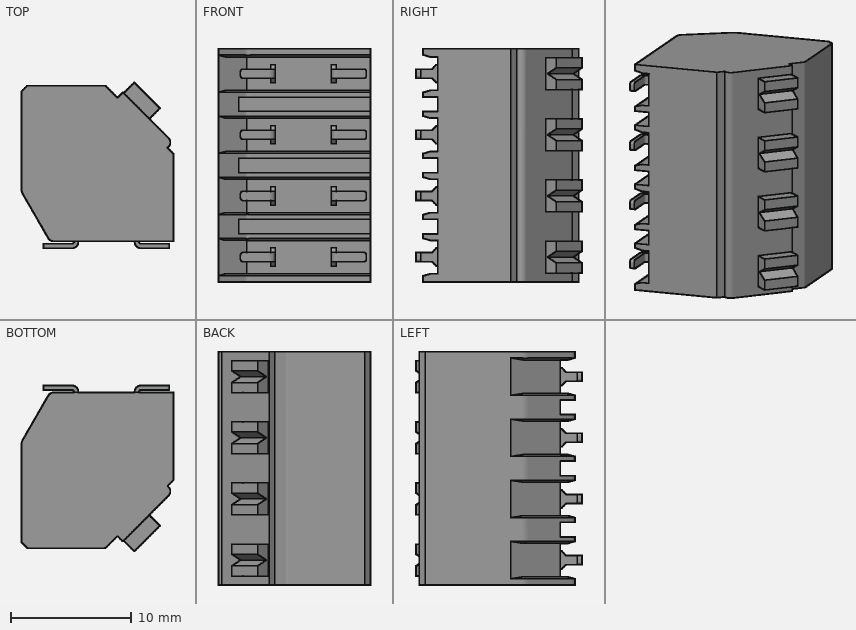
import cadquery as cq
import math


height = 19.44
width = 12.7
depth = 12.99
back_left_chamfer = 0.5
front_slant_x = 2.4
front_slant_angle = 60.0
front_slant_y = front_slant_x * math.tan(math.radians(front_slant_angle))
side_fillet = 0.97
front_fillet = 0.56

slope_sum = 20.88
low_slope_sum = 19.98
step = (slope_sum - low_slope_sum) / 2
upper_step_x = 8.0
lower_step_x = 12.19
slope_end_fillet = 0.5
back_fillet = 0.23

pole_count = 4
pole_pitch = 5.1
first_pole_z = (height - (pole_count - 1) * pole_pitch) / 2
pole_heights = [first_pole_z + i * pole_pitch for i in range(pole_count)]

recess_depth = 1.22
recess_height = 2.76
lip_rise = 0.17
lip_reach = 0.62
mouth_height = recess_height + 2 * lip_rise
side_recess_y = 5.35
slot_height = 1.2

pin_mirror_x = 7.1
pin_half_gap = 2.33
pin_thickness = 0.39
pin_reach = 5.25
pin_width = 0.78
pin_root_width = 1.52
pin_root_length = 0.12
pin_taper_length = 0.35
foot_y = -0.58
bend_radius = 0.55
tip_fillet = 0.23

button_offset = 0.1
button_length = 3.03
button_rise = 1.26
button_height = 2.66
groove_width = 0.97
groove_depth = 1.03

overlap = 0.2
beyond = 3.89


def box(x_min, x_max, y_min, y_max, z_center, z_size):
    """Box with given X and Y limits, centred on z_center."""
    return (
        cq.Workplane("XY", origin=(x_min, y_min, z_center))
        .box(x_max - x_min, y_max - y_min, z_size, centered=(False, False, True))
    )


def make_body():
    outline = [
        (front_slant_x, 0),
        (width, 0),
        (width, low_slope_sum - width),
        (lower_step_x, low_slope_sum - lower_step_x),
        (lower_step_x + step, slope_sum - lower_step_x - step),
        (upper_step_x + step, slope_sum - upper_step_x - step),
        (upper_step_x, low_slope_sum - upper_step_x),
        (low_slope_sum - depth, depth),
        (back_left_chamfer, depth),
        (0, depth - back_left_chamfer),
        (0, front_slant_y),
    ]
    fillets = {0: front_fillet, 4: slope_end_fillet, 7: back_fillet, 10: side_fillet}
    body = cq.Workplane("XY").polyline(outline).close().extrude(height)
    for corner, radius in fillets.items():
        x, y = outline[corner]
        edge = cq.selectors.NearestToPointSelector((x, y, height / 2))
        body = body.edges("|Z").edges(edge).fillet(radius)
    return body


def make_lip():
    """Flared wedge on the lower wall of a recess, its outer edge at Z = 0."""
    outline = [
        (front_slant_x, 0),
        (width + beyond, 0),
        (width + beyond, depth),
        (0, depth),
        (0, front_slant_y),
    ]
    flare_angle = math.degrees(math.atan2(lip_reach, lip_rise))
    return cq.Workplane("XY").polyline(outline).close().extrude(lip_rise, taper=flare_angle)


def make_recess():
    """Cutter for one pin recess, centred on Z = 0."""
    tan_slant = math.tan(math.radians(front_slant_angle))
    floor_corner_x = (side_recess_y - recess_depth) / tan_slant
    outline = [
        (floor_corner_x, recess_depth),
        (width + beyond, recess_depth),
        (width + beyond, -beyond),
        (-beyond, -beyond),
        (-beyond, side_recess_y + beyond * tan_slant),
    ]
    cutter = (
        cq.Workplane("XY", origin=(0, 0, -mouth_height / 2))
        .polyline(outline).close().extrude(mouth_height)
    )
    lower_lip = make_lip().translate((0, 0, -mouth_height / 2))
    return cutter.cut(lower_lip).cut(lower_lip.mirror("XY"))


def make_pin():
    """Left pin of a pole, centred on Z = 0, its foot pointing to -X."""
    stem_right = pin_mirror_x - pin_half_gap
    stem_left = stem_right - pin_thickness
    bend_x = stem_right - bend_radius
    bend_y = foot_y + bend_radius
    tip_x = pin_mirror_x - pin_reach
    foot_top = foot_y + pin_thickness
    inner_radius = bend_radius - pin_thickness
    diagonal = math.sqrt(0.5)
    root_y = recess_depth + overlap
    strip = (
        cq.Workplane("XY", origin=(0, 0, -pin_width / 2))
        .moveTo(tip_x, foot_y)
        .lineTo(bend_x, foot_y)
        .threePointArc(
            (bend_x + bend_radius * diagonal, bend_y - bend_radius * diagonal),
            (stem_right, bend_y),
        )
        .lineTo(stem_right, root_y)
        .lineTo(stem_left, root_y)
        .lineTo(stem_left, bend_y)
        .threePointArc(
            (bend_x + inner_radius * diagonal, bend_y - inner_radius * diagonal),
            (bend_x, foot_top),
        )
        .lineTo(tip_x, foot_top)
        .close()
        .extrude(pin_width)
        .edges("|Y and <X").fillet(tip_fillet)
    )
    shoulder_y = recess_depth - pin_root_length
    root = (
        cq.Workplane("YZ", origin=(stem_left, 0, 0))
        .polyline([
            (root_y, -pin_root_width / 2),
            (shoulder_y, -pin_root_width / 2),
            (shoulder_y - pin_taper_length, -pin_width / 2),
            (shoulder_y - pin_taper_length, pin_width / 2),
            (shoulder_y, pin_root_width / 2),
            (root_y, pin_root_width / 2),
        ])
        .close()
        .extrude(pin_thickness)
    )
    return strip.union(root)


def make_button():
    """Push button with a V groove along the slope, centred on Z = 0."""
    corner = (upper_step_x + step, slope_sum - upper_step_x - step, 0)
    slope = cq.Plane(origin=corner, xDir=(1, -1, 0), normal=(1, 1, 0))
    block = (
        cq.Workplane(slope)
        .workplane(offset=-overlap)
        .center(button_offset + button_length / 2, 0)
        .rect(button_length, button_height)
        .extrude(button_rise + overlap)
    )
    end = cq.Plane(origin=corner, xDir=(0, 0, -1), normal=(1, -1, 0))
    groove = (
        cq.Workplane(end)
        .polyline([
            (-groove_width / 2, button_rise),
            (groove_width / 2, button_rise),
            (0, button_rise - groove_depth),
        ])
        .close()
        .extrude(button_offset + button_length + overlap)
    )
    return block.cut(groove)


result = make_body()

recess = make_recess()
for z in pole_heights:
    result = result.cut(recess.translate((0, 0, z)))

for z in pole_heights[:-1]:
    slot_z = z + pole_pitch / 2
    result = result.cut(box(-beyond, width + beyond, -beyond, recess_depth, slot_z, slot_height))

left_pin = make_pin()
right_pin = left_pin.mirror("YZ", (pin_mirror_x, 0, 0))
button = make_button()
for z in pole_heights:
    for feature in (left_pin, right_pin, button):
        result = result.union(feature.translate((0, 0, z)))